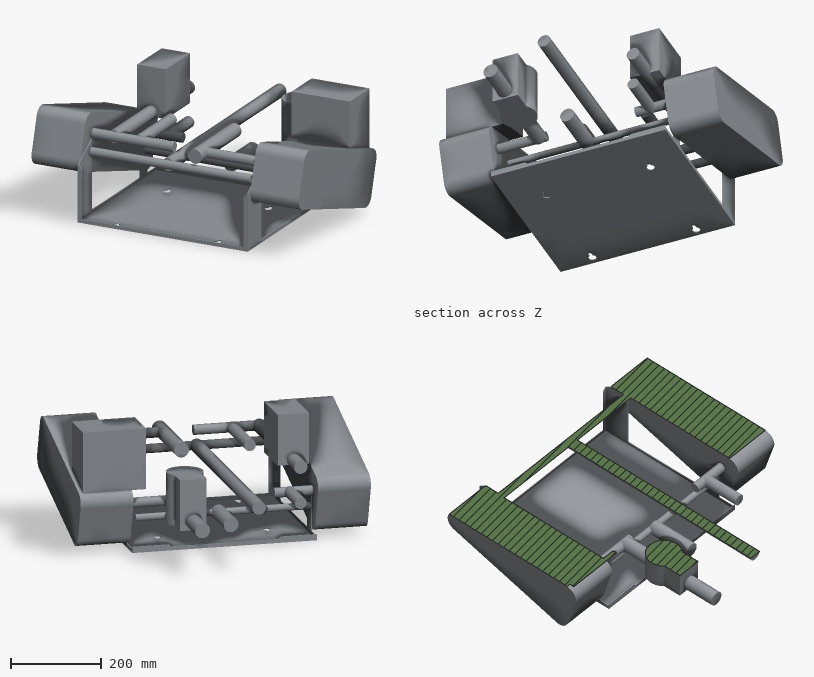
import cadquery as cq
import math

overall_width = 662.0
overall_length = 608.0
overall_height = 291.0

housing_width = 120.5
housing_length = 367.0
housing_thickness = 133.0
housing_corner_radius = 25.0
housing_tilt = 17.0
housing_center_y = 200.5
housing_center_z = 126.0

tray_half_width = overall_width / 2 - housing_width
tray_depth = 380.0
sheet = 2.0
rail_height = 8.5
side_flange_width = 10.0
front_post_depth = 66.0
front_post_height = 135.0
rear_post_front_y = 300.0
rear_post_rear_y = 334.0
rear_post_height = 102.0
post_top_slope = math.tan(math.radians(32.0))
window_radius = 4.5
lip_height = 14.0
lip_inner_x = 122.0
lip_chamfer = lip_height - rail_height

keyhole_x = 125.0
keyhole_rows_y = (18.5, 267.0)
keyhole_diameter = 18.0
keyhole_slot_width = 8.0
keyhole_reach = 18.0

upper_z = 186.0
bar_z = 147.0
lower_z = 104.0
rear_bar_z = 65.5
front_header_y = 74.0
front_bar_y = 62.0
rear_bar_y = 327.0
rear_header_y = 339.5
short_stub_y = 438.0
front_pipe_rear_y = 232.5
open_pipe_front_y = 39.0

branch_diameter = 23.0
lower_branch_diameter = 22.5
front_bar_diameter = 20.5
rear_bar_diameter = 16.0
small_pipe_diameter = 26.5
main_pipe_diameter = 30.5
large_pipe_diameter = 34.0

left_pipe_x = -158.0
small_pipe_x = -96.5
long_pipe_x = -18.5
rear_stub_x = 0.5
open_pipe_x = 59.5
valve_x = 110.5
front_header_end_x = -8.5
valve_elbow_x = 93.5
rear_bar_end_x = 190.0

valve_radius = 42.0
valve_y = 453.0
valve_back_y = 527.0
valve_back_width = 61.0
valve_bottom_z = 84.0
valve_top_z = 200.0

left_box_x = (-193.0, -122.5)
left_box_y = (255.5, 374.0)
left_box_z = (175.0, overall_height)
right_box_x = (178.0, 322.0)
right_box_y = (277.0, 374.0)
right_box_top_z = 281.5


def block(x_span, y_span, z_span):
    """Box between the given limits on each axis."""
    size = [span[1] - span[0] for span in (x_span, y_span, z_span)]
    corner = (x_span[0], y_span[0], z_span[0])
    return cq.Workplane("XY").box(*size, centered=False).translate(corner)


def x_pipe(x_start, x_end, y, z, diameter):
    """Solid round bar along X."""
    bar = cq.Workplane("YZ").circle(diameter / 2).extrude(x_end - x_start)
    return bar.translate((x_start, y, z))


def y_pipe(x, z, y_start, y_end, diameter):
    """Solid round bar along Y."""
    bar = cq.Workplane("XZ").circle(diameter / 2).extrude(-(y_end - y_start))
    return bar.translate((x, y_start, z))


def tilt_to_housing(body, x_center):
    """Tilt a centred body so it rises toward the front, then move it onto the housing axis."""
    tilted = body.rotate((0, 0, 0), (1, 0, 0), -housing_tilt)
    return tilted.translate((x_center, housing_center_y, housing_center_z))


def housing(x_center):
    body = cq.Workplane("XY").box(housing_width, housing_length, housing_thickness)
    body = body.edges("|X").fillet(housing_corner_radius)
    return tilt_to_housing(body, x_center)


def tray_wall(x_start):
    """Side sheet: a low rail with a front and a rear post, both with sloped tops."""
    front_post_back_z = front_post_height + front_post_depth * post_top_slope
    rear_post_front_z = rear_post_height - (rear_post_rear_y - rear_post_front_y) * post_top_slope
    outline = [
        (0, 0),
        (tray_depth, 0),
        (tray_depth, rail_height),
        (rear_post_rear_y, rail_height),
        (rear_post_rear_y, rear_post_height),
        (rear_post_front_y, rear_post_front_z),
        (rear_post_front_y, rail_height),
        (front_post_depth, rail_height),
        (front_post_depth, front_post_back_z),
        (0, front_post_height),
    ]
    window_corners = cq.selectors.BoxSelector(
        (-sheet, front_post_depth - sheet, rail_height - sheet),
        (2 * sheet, rear_post_front_y + sheet, rail_height + sheet),
    )
    wall = cq.Workplane("YZ").polyline(outline).close().extrude(sheet)
    wall = wall.edges("|X").edges(window_corners).fillet(window_radius)
    return wall.translate((x_start, 0, 0))


def front_flange():
    """Narrow U-shaped return along the floor and walls, bevelled at its upper ends."""
    outer = tray_half_width
    inner = outer - side_flange_width
    bevel_z = front_post_height - side_flange_width + sheet
    outline = [
        (-outer, 0),
        (outer, 0),
        (outer, front_post_height),
        (outer - sheet, front_post_height),
        (inner, bevel_z),
        (inner, rail_height),
        (-inner, rail_height),
        (-inner, bevel_z),
        (-outer + sheet, front_post_height),
        (-outer, front_post_height),
    ]
    return cq.Workplane("XZ").polyline(outline).close().extrude(-sheet)


def rear_lip():
    """Upturned rear edge, taller near both ends."""
    outer = tray_half_width
    outline = [
        (-outer, 0),
        (outer, 0),
        (outer, lip_height),
        (lip_inner_x + lip_chamfer, lip_height),
        (lip_inner_x, rail_height),
        (-lip_inner_x, rail_height),
        (-lip_inner_x - lip_chamfer, lip_height),
        (-outer, lip_height),
    ]
    lip = cq.Workplane("XZ").polyline(outline).close().extrude(-sheet)
    return lip.translate((0, tray_depth - sheet, 0))


def keyholes():
    """Cutters for the four mounting holes, each a round hole with a slot toward the rear."""
    centers = [(side * keyhole_x, y) for side in (-1, 1) for y in keyhole_rows_y]
    slot_end = keyhole_reach - keyhole_slot_width / 2
    rounds = cq.Workplane("XY").pushPoints(centers).circle(keyhole_diameter / 2).extrude(sheet)
    necks = (
        cq.Workplane("XY")
        .pushPoints([(x, y + slot_end / 2) for x, y in centers])
        .slot2D(slot_end + keyhole_slot_width, keyhole_slot_width, 90)
        .extrude(sheet)
    )
    return rounds.union(necks)


def tray():
    floor = block((-tray_half_width, tray_half_width), (0, tray_depth), (0, sheet))
    body = floor.cut(keyholes())
    body = body.union(tray_wall(-tray_half_width)).union(tray_wall(tray_half_width - sheet))
    return body.union(front_flange()).union(rear_lip())


def valve():
    z_span = (valve_bottom_z, valve_top_z)
    half_back = valve_back_width / 2
    back = block((valve_x - half_back, valve_x + half_back), (valve_y, valve_back_y), z_span)
    barrel = cq.Workplane("XY").circle(valve_radius).extrude(valve_top_z - valve_bottom_z)
    return back.union(barrel.translate((valve_x, valve_y, valve_bottom_z)))


def right_box():
    """Box standing on the tilted top of the right housing, its underside in that plane."""
    body = block(right_box_x, right_box_y, (housing_center_z, right_box_top_z))
    space_below = cq.Workplane("XY").box(overall_width, overall_length, housing_thickness)
    return body.cut(tilt_to_housing(space_below, sum(right_box_x) / 2))


cross_pipes = [
    x_pipe(-tray_half_width, front_header_end_x, front_header_y, upper_z, branch_diameter),
    x_pipe(open_pipe_x, tray_half_width, front_header_y, upper_z, branch_diameter),
    x_pipe(-tray_half_width, tray_half_width, front_bar_y, bar_z, front_bar_diameter),
    x_pipe(-tray_half_width, left_box_x[1], rear_header_y, lower_z, lower_branch_diameter),
    x_pipe(valve_elbow_x, tray_half_width, rear_header_y, lower_z, lower_branch_diameter),
    x_pipe(-tray_half_width, rear_bar_end_x, rear_bar_y, rear_bar_z, rear_bar_diameter),
]

length_pipes = [
    y_pipe(left_pipe_x, upper_z, front_header_y, short_stub_y, main_pipe_diameter),
    y_pipe(left_pipe_x, lower_z, rear_header_y, short_stub_y, small_pipe_diameter),
    y_pipe(small_pipe_x, upper_z, front_header_y, front_pipe_rear_y, small_pipe_diameter),
    y_pipe(long_pipe_x, bar_z, front_bar_y, overall_length, main_pipe_diameter),
    y_pipe(rear_stub_x, rear_bar_z, rear_bar_y, short_stub_y, large_pipe_diameter),
    y_pipe(open_pipe_x, upper_z, open_pipe_front_y, front_pipe_rear_y, large_pipe_diameter),
    y_pipe(valve_x, lower_z, rear_header_y, overall_length, large_pipe_diameter),
]

housing_center_x = (overall_width - housing_width) / 2
parts = [housing(-housing_center_x), housing(housing_center_x)]
parts += cross_pipes + length_pipes
parts += [valve(), block(left_box_x, left_box_y, left_box_z), right_box()]

result = tray()
for part in parts:
    result = result.union(part)